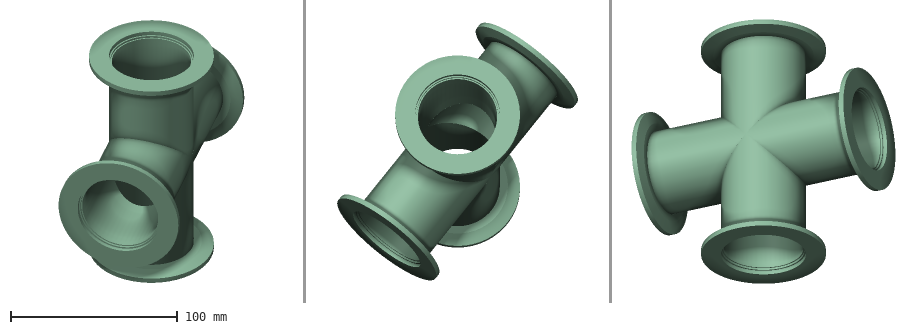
import cadquery as cq

span = 140.0
half_span = span / 2

tube_diameter = 50.8
bore_diameter = 47.6

flange_diameter = 75.0
hub_diameter = 60.5
rim_thickness = 3.1
flange_thickness = 4.9

recess_diameter = 51.0
recess_depth = 2.5
lip_diameter = 49.1
lip_thickness = 1.3
socket_diameter = 51.2

arm_angles = [0, 90, 180, 270]
tube_end = half_span - recess_depth - lip_thickness


def make_tube():
    """Upright tube whose lower end is mitred to a point on the centre of the cross."""
    radius = tube_diameter / 2
    pipe = cq.Workplane("XY").circle(radius).circle(bore_diameter / 2).extrude(tube_end)
    mitre_wedge = (
        cq.Workplane("YZ")
        .polyline([(0, 0), (tube_end, tube_end), (-tube_end, tube_end)])
        .close()
        .extrude(radius, both=True)
    )
    return pipe.intersect(mitre_wedge)


def make_flange():
    """Flange at the upper end, revolved about the tube axis."""
    rim_back = half_span - rim_thickness
    flange_back = half_span - flange_thickness
    recess_floor = half_span - recess_depth
    profile = [
        (recess_diameter / 2, half_span),
        (flange_diameter / 2, half_span),
        (flange_diameter / 2, rim_back),
        (hub_diameter / 2, flange_back),
        (socket_diameter / 2, flange_back),
        (socket_diameter / 2, tube_end),
        (lip_diameter / 2, tube_end),
        (lip_diameter / 2, recess_floor),
        (recess_diameter / 2, recess_floor),
    ]
    return cq.Workplane("XZ").polyline(profile).close().revolve(360, (0, 0), (0, 1))


def turn_about_x(body, angle):
    """Copy of an upright body, swung about X into another arm of the cross."""
    return body.rotate((0, 0, 0), (1, 0, 0), angle)


tube = make_tube()
flange = make_flange()

bodies = []
for arm_angle in arm_angles:
    bodies.append(turn_about_x(tube, arm_angle).val())
    bodies.append(turn_about_x(flange, arm_angle).val())

result = cq.Compound.makeCompound(bodies)